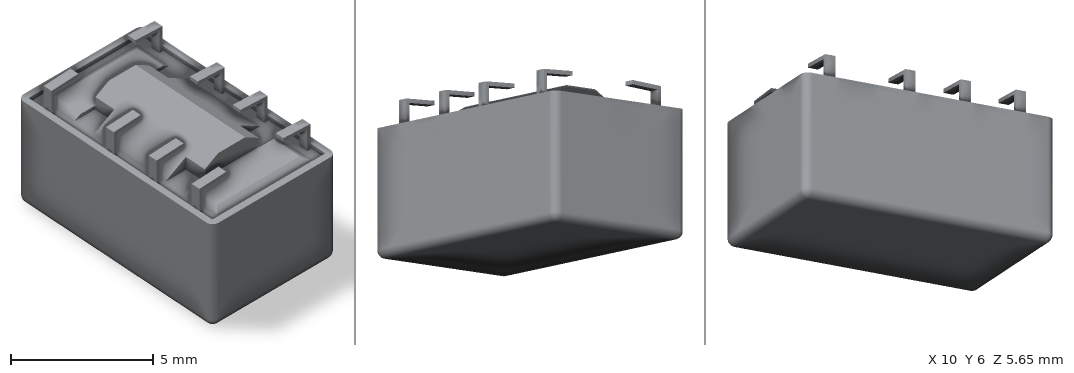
import cadquery as cq
import math

case_length = 10.0
case_width = 6.0
case_height = 4.65
end_wall = 0.285
side_wall = 0.27
case_round = 0.3
recess_depth = 0.2
floor_z = case_height - recess_depth

pad_length = 8.94
pad_width = 4.56
pad_inset = 0.28
pad_slope = math.radians(30)
pad_height = pad_inset * math.tan(pad_slope)

ridge_length = 5.62
ridge_top_z = 5.4
ridge_top_width = 1.3

notch_inner_x = 1.84
notch_outer_x = 2.84
notch_inner_y = 1.3

pin_x_positions = (-3.8, -0.6, 1.6, 3.8)
pin_width = 0.4
pin_thickness = 0.15
pin_outer_y = 2.68
pin_tip_y = 1.38
pin_top_z = 5.65
pin_tilt = math.radians(3)


def make_case():
    """Box with rounded upright and bottom edges, recessed on top."""
    box = cq.Workplane("XY").box(case_length, case_width, case_height, centered=(True, True, False))
    box = box.edges("|Z or <Z").fillet(case_round)
    recess = (
        cq.Workplane("XY")
        .workplane(offset=floor_z)
        .rect(case_length - 2 * end_wall, case_width - 2 * side_wall)
        .extrude(recess_depth)
    )
    return box.cut(recess)


def make_pad():
    """Frustum with its base on the recess floor."""
    return (
        cq.Workplane("XY")
        .workplane(offset=floor_z)
        .rect(pad_length, pad_width)
        .workplane(offset=pad_height)
        .rect(pad_length - 2 * pad_inset, pad_width - 2 * pad_inset)
        .loft(ruled=True)
    )


def make_ridge():
    """Trapezoidal bar along X, as wide at its foot as the pad."""
    return (
        cq.Workplane("YZ")
        .moveTo(-pad_width / 2, floor_z)
        .lineTo(pad_width / 2, floor_z)
        .lineTo(ridge_top_width / 2, ridge_top_z)
        .lineTo(-ridge_top_width / 2, ridge_top_z)
        .close()
        .extrude(ridge_length / 2, both=True)
    )


def make_notches():
    """Four cutters, one at each corner of the ridge, reaching down to the recess floor."""
    notch_length = notch_outer_x - notch_inner_x
    notch_width = pad_width / 2 - notch_inner_y
    notch_x = (notch_inner_x + notch_outer_x) / 2
    notch_y = notch_inner_y + notch_width / 2
    return (
        cq.Workplane("XY")
        .workplane(offset=floor_z)
        .rect(2 * notch_x, 2 * notch_y, forConstruction=True)
        .vertices()
        .rect(notch_length, notch_width)
        .extrude(ridge_top_z - floor_z)
    )


def make_pin(x):
    """Terminal of the +Y row: an upright leg with an arm that rises slightly toward the middle.

    The arm ends square to its own length.
    """
    leg_inner_y = pin_outer_y - pin_thickness
    rise = math.tan(pin_tilt)
    bend_top_z = pin_top_z - (pin_outer_y - pin_tip_y) * rise
    tip_bottom_y = pin_tip_y - pin_thickness * math.sin(pin_tilt)
    tip_bottom_z = pin_top_z - pin_thickness * math.cos(pin_tilt)
    bend_bottom_z = tip_bottom_z - (leg_inner_y - tip_bottom_y) * rise
    profile = [
        (pin_outer_y, floor_z),
        (pin_outer_y, bend_top_z),
        (pin_tip_y, pin_top_z),
        (tip_bottom_y, tip_bottom_z),
        (leg_inner_y, bend_bottom_z),
        (leg_inner_y, floor_z),
    ]
    return (
        cq.Workplane("YZ", origin=(x, 0, 0))
        .polyline(profile)
        .close()
        .extrude(pin_width / 2, both=True)
    )


platform = make_pad().union(make_ridge()).cut(make_notches())
result = make_case().union(platform)
for pin_x in pin_x_positions:
    pin = make_pin(pin_x)
    result = result.union(pin).union(pin.mirror("XZ"))